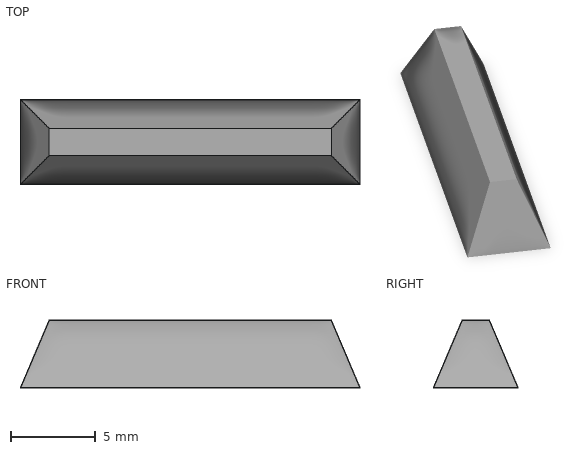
import cadquery as cq

length = 20.0
width = 5.0
height = 4.0

side_inset = 1.7

top_length = length - 2 * side_inset
top_width = width - 2 * side_inset

result = (
    cq.Workplane("XY")
    .rect(length, width)
    .workplane(offset=height)
    .rect(top_length, top_width)
    .loft(ruled=True, combine=True)
)